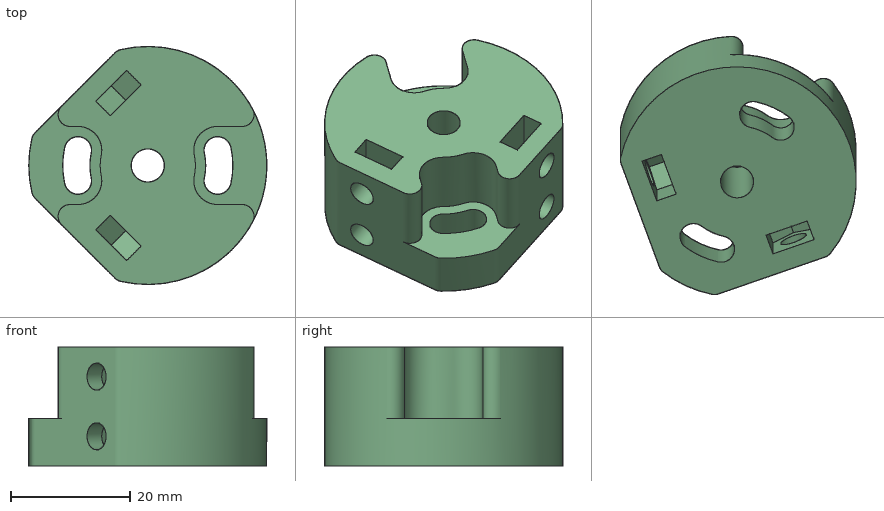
import cadquery as cq
import math

radius = 19.97
height = 20.0
base_height = 8.03
flat_distance = 17.25
flat_angle = 135.0
corner_radius = 2.0
bore_diameter = 5.5

slot_radius = 12.0
slot_width = 4.5
slot_half_angle = 12.3
pocket_width = 8.0

screw_diameter = 4.5
screw_offset = 5.1
screw_heights = (height / 4, height * 3 / 4)
nut_width = 7.3
nut_thickness = 3.45
nut_distance = 12.05
nut_corner_radius = nut_width / math.sqrt(3)

SIDES = (-1, 1)
tolerance = 0.005


def outline_prism(bottom, top):
    """Disc with both flats cut, between two heights, its corners still sharp."""
    depth = top - bottom
    body = cq.Workplane("XY").workplane(offset=bottom).circle(radius).extrude(depth)
    for side in SIDES:
        cutter = (
            cq.Workplane("XY")
            .workplane(offset=bottom)
            .center(flat_distance + radius / 2, 0)
            .rect(radius, 2 * radius)
            .extrude(depth)
            .rotate((0, 0, 0), (0, 0, 1), side * flat_angle)
        )
        body = body.cut(cutter)
    return body


def slot_end(angle):
    """Point on the slot centre line at an angle in degrees from +X."""
    return (slot_radius * math.cos(math.radians(angle)), slot_radius * math.sin(math.radians(angle)))


def curved_slot(width, bottom, top):
    """Round-ended slot along an arc about the Z axis, on the +X side."""
    inner = slot_radius - width / 2
    outer = slot_radius + width / 2
    cos_end = math.cos(math.radians(slot_half_angle))
    sin_end = math.sin(math.radians(slot_half_angle))
    plane = cq.Workplane("XY").workplane(offset=bottom)
    slot = (
        plane.moveTo(inner * cos_end, -inner * sin_end)
        .threePointArc((inner, 0), (inner * cos_end, inner * sin_end))
        .lineTo(outer * cos_end, outer * sin_end)
        .threePointArc((outer, 0), (outer * cos_end, -outer * sin_end))
        .close()
        .extrude(top - bottom)
    )
    ends = [slot_end(-slot_half_angle), slot_end(slot_half_angle)]
    return slot.union(plane.pushPoints(ends).circle(width / 2).extrude(top - bottom))


def open_pocket():
    """Wide slot that runs straight out through the rim, on the +X side."""
    end_x, end_y = slot_end(slot_half_angle)
    mouth = (
        cq.Workplane("XY")
        .workplane(offset=base_height)
        .center(end_x + radius / 2, 0)
        .rect(radius, 2 * end_y + pocket_width)
        .extrude(height - base_height)
    )
    return curved_slot(pocket_width, base_height, height).union(mouth)


def near_outline(edge):
    """True for a vertical edge on the rim or on a flat."""
    centre = edge.Center()
    on_rim = abs(math.hypot(centre.x, centre.y) - radius) < tolerance
    on_flat = abs(abs(centre.y) - centre.x - flat_distance * math.sqrt(2)) < tolerance
    return on_rim or on_flat


def make_base():
    """Lower part of the body, which is also the floor of the pockets."""
    base = outline_prism(0, base_height)
    corners = [e for e in base.edges("|Z").vals() if e.Center().x < 0]
    return base.newObject(corners).fillet(corner_radius)


def make_upper():
    """Upper part of the body with the pockets and rounded mouths."""
    upper = outline_prism(base_height, height)
    upper = upper.cut(open_pocket())
    upper = upper.cut(open_pocket().mirror("YZ"))
    corners = [e for e in upper.edges("|Z").vals() if near_outline(e)]
    return upper.newObject(corners).fillet(corner_radius)


def nut_trap(centre_height, direction):
    """Hexagonal nut trap along +X, open upward (direction 1) or downward (-1)."""
    half = nut_width / 2
    shoulder = centre_height - direction * nut_corner_radius / 2
    point = centre_height - direction * nut_corner_radius
    mouth = height if direction > 0 else 0
    return (
        cq.Workplane("YZ")
        .workplane(offset=nut_distance - nut_thickness / 2)
        .polyline([(-half, mouth), (-half, shoulder), (0, point), (half, shoulder), (half, mouth)])
        .close()
        .extrude(nut_thickness)
    )


def screw_cuts():
    """Two screw holes from the flat into their nut traps, for a flat facing +X."""
    holes = (
        cq.Workplane("YZ")
        .workplane(offset=nut_distance)
        .pushPoints([(0, z) for z in screw_heights])
        .circle(screw_diameter / 2)
        .extrude(radius - nut_distance)
    )
    for centre_height, direction in zip(screw_heights, (-1, 1)):
        holes = holes.union(nut_trap(centre_height, direction))
    return holes


result = make_base().union(make_upper())
result = result.cut(cq.Workplane("XY").circle(bore_diameter / 2).extrude(height))

mounting_slot = curved_slot(slot_width, 0, base_height)
result = result.cut(mounting_slot).cut(mounting_slot.mirror("YZ"))

for side in SIDES:
    cuts = screw_cuts().translate((0, -side * screw_offset, 0))
    result = result.cut(cuts.rotate((0, 0, 0), (0, 0, 1), side * flat_angle))